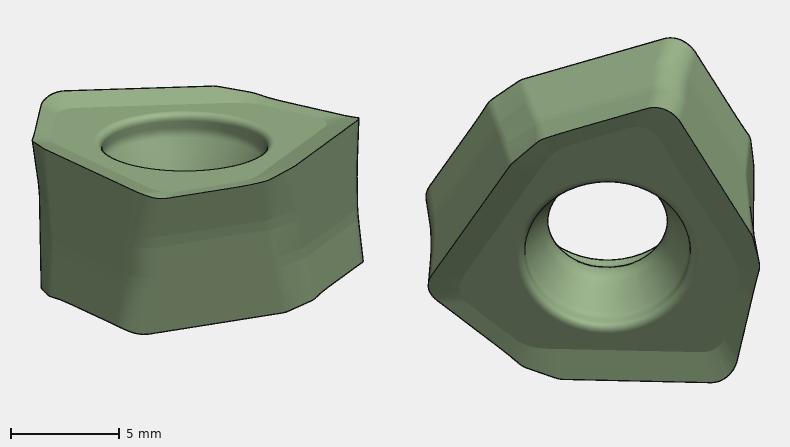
import cadquery as cq
import math

THIRD = 120
TURNS = (0, THIRD, 2 * THIRD)
LONG_ANGLE = 270.0
WIDE_ANGLE = 350.0
CORNER_ANGLE = 250.0
NEXT_CORNER_ANGLE = CORNER_ANGLE + THIRD
NOSE_ANGLE = (LONG_ANGLE + WIDE_ANGLE) / 2
HEIGHT = 7.0
TOP = HEIGHT / 2
OVERSHOOT = 0.93

LONG_OFFSET = 6.5
BREAK_UPPER = -0.73
BREAK_LOWER = -1.23
BREAK = (BREAK_UPPER + BREAK_LOWER) / 2
LEAN = 2.0
FLARE = 8.6
NOSE_RADIUS = 1.3

CORNER_LEVELS = (TOP, -BREAK_UPPER, BREAK_UPPER, BREAK_LOWER, -TOP)
CORNER_OFFSETS = (6.8, 6.73, 6.67, 6.68, 6.93)
CORNER_RADIUS = 1.02

FLOOR = 3.13
WIDE_EDGE_Z = 3.21
LONG_FLOOR_OFFSET = 5.09
WIDE_FLOOR_OFFSET = 6.2
WIDE_EDGE_OFFSET = 7.0
FLOOR_NOSE_SETBACK = 0.99
EDGE_NOSE_SETBACK = 1.17
LONG_CORNER_END = -1.9
WIDE_CORNER_END = -0.68
FLOOR_CORNER_OFFSET = 5.86
EDGE_CORNER_OFFSET = 6.85
FLOOR_CORNER_SHIFT = -1.68
EDGE_CORNER_SHIFT = -1.25
CORNER_EDGE_Z = 3.33
FLOOR_NOSE_INSET = 0.34
EDGE_NOSE_INSET = 0.43
NOSE_EDGE_Z = 3.36
GROOVE_REACH = 1.5

RIM_RADIUS = 4.18
SEAT_RADIUS = 3.83
BORE_RADIUS = 2.76
RIM_DEPTH = 0.35
SEAT_DEPTH = 0.71
CONE_START_RADIUS = 3.72
CONE_START_DEPTH = 1.1
CONE_END_RADIUS = 2.93
CONE_END_DEPTH = 2.42
BORE_DEPTH = 3.04


def interpolate(x, xs, ys):
    """Piecewise linear value at x, for falling xs."""
    for i in range(len(xs) - 1):
        if x >= xs[i + 1]:
            break
    share = (x - xs[i]) / (xs[i + 1] - xs[i])
    return ys[i] + share * (ys[i + 1] - ys[i])


def long_offset(z):
    """Distance of a long flank from the hole axis at height z; a wide flank has it at -z."""
    lean = math.tan(math.radians(LEAN))
    flare = math.tan(math.radians(FLARE))
    if z >= BREAK_UPPER:
        return LONG_OFFSET + (TOP - z) * lean
    at_break = LONG_OFFSET + (TOP - BREAK) * lean
    return at_break + (BREAK - z) * flare


def direction(angle):
    """Unit vector in the XY plane at an angle from X."""
    return cq.Vector(math.cos(math.radians(angle)), math.sin(math.radians(angle)), 0)


def meet(angle_1, offset_1, angle_2, offset_2):
    """Point where two lines, each given by normal angle and distance from the axis, cross."""
    turn = math.radians(angle_2 - angle_1)
    along = (offset_2 - offset_1 * math.cos(turn)) / math.sin(turn)
    return direction(angle_1) * offset_1 + direction(angle_1 + 90) * along


def lift(point, z):
    return cq.Vector(point.x, point.y, z)


def rotate(point, angle):
    """Point turned about the hole axis, brought down to height zero."""
    return direction(angle) * point.x + direction(angle + 90) * point.y


def rounded_corner(before, corner, after, radius, z):
    """Start, middle and end, at height z, of the arc that rounds a corner."""
    back = (before - corner).normalized()
    ahead = (after - corner).normalized()
    half = back.getAngle(ahead) / 2
    setback = radius / math.tan(half)
    to_arc = radius / math.sin(half) - radius
    middle = (back + ahead).normalized() * to_arc
    return [lift(corner + shift, z) for shift in (back * setback, middle, ahead * setback)]


def body_section(z):
    """Arcs of the outline at height z: three per third, from blunt corner over nose to blunt corner."""
    long_corner = interpolate(z, CORNER_LEVELS, CORNER_OFFSETS)
    wide_corner = interpolate(-z, CORNER_LEVELS, CORNER_OFFSETS)
    long = long_offset(z)
    wide = long_offset(-z)
    corners = []
    for turn in TURNS:
        corners.append(meet(CORNER_ANGLE + turn, long_corner, LONG_ANGLE + turn, long))
        corners.append(meet(LONG_ANGLE + turn, long, WIDE_ANGLE + turn, wide))
        corners.append(meet(WIDE_ANGLE + turn, wide, NEXT_CORNER_ANGLE + turn, wide_corner))
    radii = (CORNER_RADIUS, NOSE_RADIUS, CORNER_RADIUS) * len(TURNS)
    following = corners[1:] + corners[:1]
    return [
        rounded_corner(corners[i - 1], corners[i], following[i], radii[i], z)
        for i in range(len(corners))
    ]


def flat_strip(sections, left, right):
    """Flat face between the end of one arc and the start of another, through several levels."""
    side_1 = [section[left][2] for section in sections]
    side_2 = [section[right][0] for section in sections]
    return cq.Face.makeFromWires(cq.Wire.makePolygon(side_1 + side_2[::-1], close=True))


def make_body():
    """Solid bounded by the flanks, noses and blunt corners, with flat ends."""
    levels = (-TOP, BREAK_LOWER, BREAK_UPPER, -BREAK_UPPER, -BREAK_LOWER, TOP)
    sections = [body_section(z) for z in levels]
    count = len(sections[0])
    arcs_per_third = count // len(TURNS)
    arcs = [[cq.Edge.makeThreePointArc(*arc) for arc in section] for section in sections]
    lines = [
        [cq.Edge.makeLine(section[i][2], section[(i + 1) % count][0]) for i in range(count)]
        for section in sections
    ]
    faces = []
    for level in (0, -1):
        faces.append(cq.Face.makeFromWires(cq.Wire.assembleEdges(arcs[level] + lines[level])))
    for low in range(len(levels) - 1):
        for i in range(count):
            faces.append(cq.Face.makeRuledSurface(arcs[low][i], arcs[low + 1][i]))
    for first in range(0, count, arcs_per_third):
        long_start, nose, wide_end = first, first + 1, first + 2
        next_start = (first + arcs_per_third) % count
        for strip in (sections[:2], sections[1:3], sections[2:]):
            faces.append(flat_strip(strip, long_start, nose))
        for strip in (sections[:4], sections[3:5], sections[4:]):
            faces.append(flat_strip(strip, nose, wide_end))
        for low in range(len(levels) - 1):
            faces.append(cq.Face.makeRuledSurface(lines[low][wide_end], lines[low + 1][wide_end]))
    return cq.Solid.makeSolid(cq.Shell.makeShell(faces))


def groove_points(long, wide, nose_setback, nose_inset, corner, corner_shift, heights):
    """Ends and middles of the groove stretches for one third of a ring, in order around the axis."""
    long_z, nose_z, wide_z, corner_z = heights
    apex = meet(LONG_ANGLE, long, WIDE_ANGLE, wide)
    long_along = direction(LONG_ANGLE + 90)
    wide_along = direction(WIDE_ANGLE + 90)
    corner_along = direction(NEXT_CORNER_ANGLE + 90)
    return [
        lift(direction(LONG_ANGLE) * long + long_along * LONG_CORNER_END, long_z),
        lift(apex - long_along * nose_setback, long_z),
        lift(apex - direction(NOSE_ANGLE) * nose_inset, nose_z),
        lift(apex + wide_along * nose_setback, wide_z),
        lift(direction(WIDE_ANGLE) * wide + wide_along * WIDE_CORNER_END, wide_z),
        lift(direction(NEXT_CORNER_ANGLE) * corner + corner_along * corner_shift, corner_z),
    ]


def ring_edges(points):
    """Closed ring of straight flank stretches joined by smooth nose and corner curves."""
    z_axis = cq.Vector(0, 0, 1)
    long_start, long_end, nose, wide_start, wide_end, corner = points
    next_start = lift(rotate(long_start, THIRD), long_start.z)
    long_along = direction(LONG_ANGLE + 90)
    wide_along = direction(WIDE_ANGLE + 90)
    next_along = direction(LONG_ANGLE + 90 + THIRD)
    third = [
        cq.Edge.makeLine(long_start, long_end),
        cq.Edge.makeSpline([long_end, nose, wide_start], tangents=[long_along, wide_along]),
        cq.Edge.makeLine(wide_start, wide_end),
        cq.Edge.makeSpline([wide_end, corner, next_start], tangents=[wide_along, next_along]),
    ]
    origin = cq.Vector(0, 0, 0)
    return [edge.rotate(origin, z_axis, turn) for turn in TURNS for edge in third]


def make_groove_cutter():
    """Everything above the floor and the chip groove that climbs from it to the cutting edge."""
    inner = groove_points(LONG_FLOOR_OFFSET, WIDE_FLOOR_OFFSET, FLOOR_NOSE_SETBACK,
                          FLOOR_NOSE_INSET, FLOOR_CORNER_OFFSET, FLOOR_CORNER_SHIFT,
                          (FLOOR,) * 4)
    edge = groove_points(LONG_OFFSET, WIDE_EDGE_OFFSET, EDGE_NOSE_SETBACK,
                         EDGE_NOSE_INSET, EDGE_CORNER_OFFSET, EDGE_CORNER_SHIFT,
                         (TOP, NOSE_EDGE_Z, WIDE_EDGE_Z, CORNER_EDGE_Z))
    outer = [start + (end - start) * GROOVE_REACH for start, end in zip(inner, edge)]
    above = [lift(point, TOP + OVERSHOOT) for point in outer]
    rings = [ring_edges(points) for points in (inner, outer, above)]
    faces = [cq.Face.makeFromWires(cq.Wire.assembleEdges(ring)) for ring in (rings[0], rings[2])]
    for lower, upper in zip(rings, rings[1:]):
        faces += [cq.Face.makeRuledSurface(a, b) for a, b in zip(lower, upper)]
    return cq.Solid.makeSolid(cq.Shell.makeShell(faces))


def make_half_hole():
    """Upper half of the hole: rounded rim, seat, cone and bore, down to mid height."""
    rim_middle = (
        RIM_RADIUS - (RIM_RADIUS - SEAT_RADIUS) * math.sqrt(0.5),
        FLOOR - RIM_DEPTH * (1 - math.sqrt(0.5)),
    )
    return (
        cq.Workplane("XZ")
        .moveTo(0, FLOOR + OVERSHOOT)
        .lineTo(RIM_RADIUS, FLOOR + OVERSHOOT)
        .lineTo(RIM_RADIUS, FLOOR)
        .threePointArc(rim_middle, (SEAT_RADIUS, FLOOR - RIM_DEPTH))
        .lineTo(SEAT_RADIUS, FLOOR - SEAT_DEPTH)
        .tangentArcPoint((CONE_START_RADIUS, FLOOR - CONE_START_DEPTH), relative=False)
        .lineTo(CONE_END_RADIUS, FLOOR - CONE_END_DEPTH)
        .tangentArcPoint((BORE_RADIUS, FLOOR - BORE_DEPTH), relative=False)
        .lineTo(BORE_RADIUS, 0)
        .lineTo(0, 0)
        .close()
        .revolve(360, (0, 0, 0), (0, 1, 0))
    )


half_turn_axis = direction(CORNER_ANGLE).toTuple()
result = cq.Workplane(make_body())
for cutter in (cq.Workplane(make_groove_cutter()), make_half_hole()):
    flipped = cutter.rotate((0, 0, 0), half_turn_axis, 180)
    result = result.cut(cutter).cut(flipped)